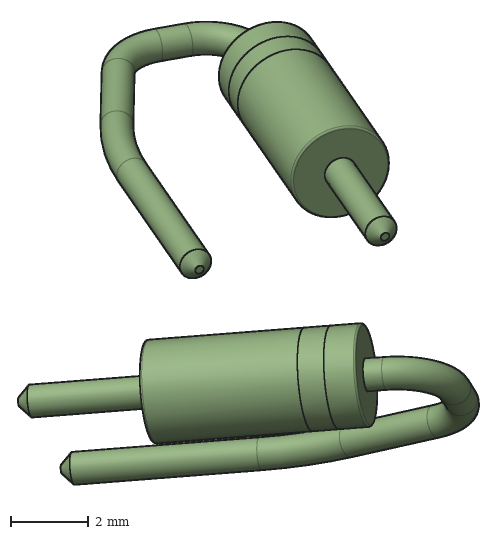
import cadquery as cq
import math

OVERALL_LENGTH = 11.63
LEAD_RADIUS = 0.43
LEAD_SPACING = 5.08
TIP_CHAMFER = 0.31

BODY_RADIUS = 1.35
BODY_LENGTH = 5.72
BODY_START_X = 2.42
BODY_EDGE_FILLET = 0.06

BAND_START_X = 3.26
BAND_WIDTH = 0.7
BAND_THICKNESS = 0.12

TIGHT_BEND_RADIUS = 1.5
SLOPE_ANGLE = math.radians(20)
FIRST_DROP = 0.83
GENTLE_BEND_RADIUS = 7.1


def x_cylinder(radius, start_x, length):
    """Solid cylinder on the X axis."""
    return cq.Workplane("YZ", origin=(start_x, 0, 0)).circle(radius).extrude(length)


def make_lead():
    """One wire running through the body, around two tight bends and back along a gentle bend."""
    first_bend_x = LEAD_RADIUS + TIGHT_BEND_RADIUS
    second_bend_y = -TIGHT_BEND_RADIUS - FIRST_DROP
    gentle_bend_y = -LEAD_SPACING + GENTLE_BEND_RADIUS

    def on_first_bend(angle):
        return (first_bend_x - TIGHT_BEND_RADIUS * math.sin(angle),
                -TIGHT_BEND_RADIUS + TIGHT_BEND_RADIUS * math.cos(angle))

    def on_second_bend(angle):
        return (first_bend_x - TIGHT_BEND_RADIUS * math.cos(angle),
                second_bend_y - TIGHT_BEND_RADIUS * math.sin(angle))

    turn = math.pi / 2 - SLOPE_ANGLE
    slope_start = on_second_bend(turn)
    slope_end_y = gentle_bend_y - GENTLE_BEND_RADIUS * math.cos(SLOPE_ANGLE)
    slope_end_x = slope_start[0] + (slope_start[1] - slope_end_y) / math.tan(SLOPE_ANGLE)
    gentle_bend_x = slope_end_x + GENTLE_BEND_RADIUS * math.sin(SLOPE_ANGLE)

    def on_gentle_bend(angle):
        return (gentle_bend_x - GENTLE_BEND_RADIUS * math.sin(angle),
                gentle_bend_y - GENTLE_BEND_RADIUS * math.cos(angle))

    path = (
        cq.Workplane("XY")
        .moveTo(OVERALL_LENGTH, 0)
        .lineTo(first_bend_x, 0)
        .threePointArc(on_first_bend(math.pi / 4), on_first_bend(math.pi / 2))
        .lineTo(LEAD_RADIUS, second_bend_y)
        .threePointArc(on_second_bend(turn / 2), slope_start)
        .lineTo(slope_end_x, slope_end_y)
        .threePointArc(on_gentle_bend(SLOPE_ANGLE / 2), on_gentle_bend(0))
        .lineTo(OVERALL_LENGTH, -LEAD_SPACING)
    )
    wire = cq.Workplane("YZ", origin=(OVERALL_LENGTH, 0, 0)).circle(LEAD_RADIUS).sweep(path)
    return wire.faces(">X").chamfer(TIP_CHAMFER)


def make_band():
    """Cathode band: a thin ring flush with the body surface."""
    outer = x_cylinder(BODY_RADIUS, BAND_START_X, BAND_WIDTH)
    return outer.cut(x_cylinder(BODY_RADIUS - BAND_THICKNESS, BAND_START_X, BAND_WIDTH))


def make_body(band):
    """Cylindrical body with rounded rims, a groove for the band and a bore for the lead."""
    body = x_cylinder(BODY_RADIUS, BODY_START_X, BODY_LENGTH)
    body = body.faces("<X or >X").edges().fillet(BODY_EDGE_FILLET)
    bore = x_cylinder(LEAD_RADIUS, BODY_START_X, BODY_LENGTH)
    return body.cut(bore).cut(band)


lead = make_lead()
band = make_band()
body = make_body(band)

result = cq.Compound.makeCompound([part.solids().val() for part in (body, band, lead)])